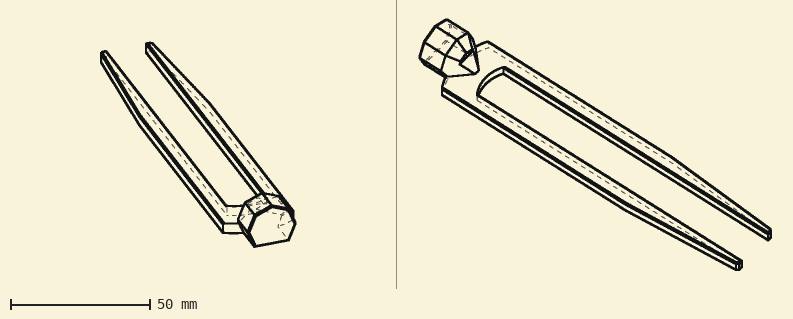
import cadquery as cq
import math

length = 146.2
width = 27.0
height = 15.8
edge_chamfer = 0.5

plate_thickness = 4.0
slot_half_width = 7.6
taper_length = 48.5
tip_half_width = 10.0
tip_corner_chamfer = 0.7
arc_center_x = 107.9
slot_end_radius = 15.0
plate_end_radius = 27.9

knob_length = 10.1
nose_length = 4.4
nose_bottom_z = 8.8
corner_angle = 45.0

half_width = width / 2
knob_radius = height / (1 + math.sin(math.radians(corner_angle)))
knob_center_z = height - knob_radius
knob_start_x = length - knob_length
nose_x = knob_start_x - nose_length
foot_x = nose_x - (nose_bottom_z - plate_thickness)


def arc_x(radius, y):
    """X of the point at the given Y on an arc about the shared arc center."""
    return arc_center_x + math.sqrt(radius**2 - y**2)


def make_plate():
    slot_corner_x = arc_x(slot_end_radius, slot_half_width)
    end_corner_x = arc_x(plate_end_radius, half_width)
    plate = (
        cq.Workplane("XY")
        .moveTo(0, slot_half_width)
        .lineTo(0, tip_half_width)
        .lineTo(taper_length, half_width)
        .lineTo(end_corner_x, half_width)
        .threePointArc((arc_center_x + plate_end_radius, 0), (end_corner_x, -half_width))
        .lineTo(taper_length, -half_width)
        .lineTo(0, -tip_half_width)
        .lineTo(0, -slot_half_width)
        .lineTo(slot_corner_x, -slot_half_width)
        .threePointArc((arc_center_x + slot_end_radius, 0), (slot_corner_x, slot_half_width))
        .close()
        .extrude(plate_thickness)
    )
    for side in (">Y", "<Y"):
        plate = plate.faces("<X").edges("|Z").edges(side).chamfer(tip_corner_chamfer)
    return plate.faces(">Z").edges("%LINE").chamfer(edge_chamfer)


def make_facet_cutter(facet_angle):
    """Wedge that bevels the knob nose on the octagon side facing facet_angle."""
    reach = 2 * knob_radius
    apothem = knob_radius * math.cos(math.radians(corner_angle / 2))
    inset = apothem / knob_radius * reach
    return (
        cq.Workplane("XY")
        .moveTo(knob_start_x, apothem)
        .lineTo(knob_start_x - reach, apothem - inset)
        .lineTo(knob_start_x - reach, apothem + reach)
        .lineTo(knob_start_x, apothem + reach)
        .close()
        .extrude(reach, both=True)
        .rotate((0, 0, 0), (1, 0, 0), facet_angle)
        .translate((0, 0, knob_center_z))
    )


def make_knob():
    corners = []
    for i in range(-1, 6):
        angle = math.radians(i * corner_angle)
        y = knob_radius * math.cos(angle)
        z = knob_center_z + knob_radius * math.sin(angle)
        corners.append((y, z))
    prism = (
        cq.Workplane("YZ", origin=(foot_x, 0, 0))
        .polyline(corners)
        .close()
        .extrude(length - foot_x)
    )
    side_profile = (
        cq.Workplane("XZ")
        .moveTo(foot_x, 0)
        .lineTo(foot_x, plate_thickness)
        .lineTo(nose_x, nose_bottom_z)
        .lineTo(nose_x, height)
        .lineTo(length, height)
        .lineTo(length, 0)
        .close()
        .extrude(width, both=True)
    )
    knob = prism.intersect(side_profile)
    knob = knob.faces(">X").edges().chamfer(edge_chamfer)
    for i in range(4):
        knob = knob.cut(make_facet_cutter((i + 0.5) * corner_angle))
    return knob


result = make_plate().union(make_knob())